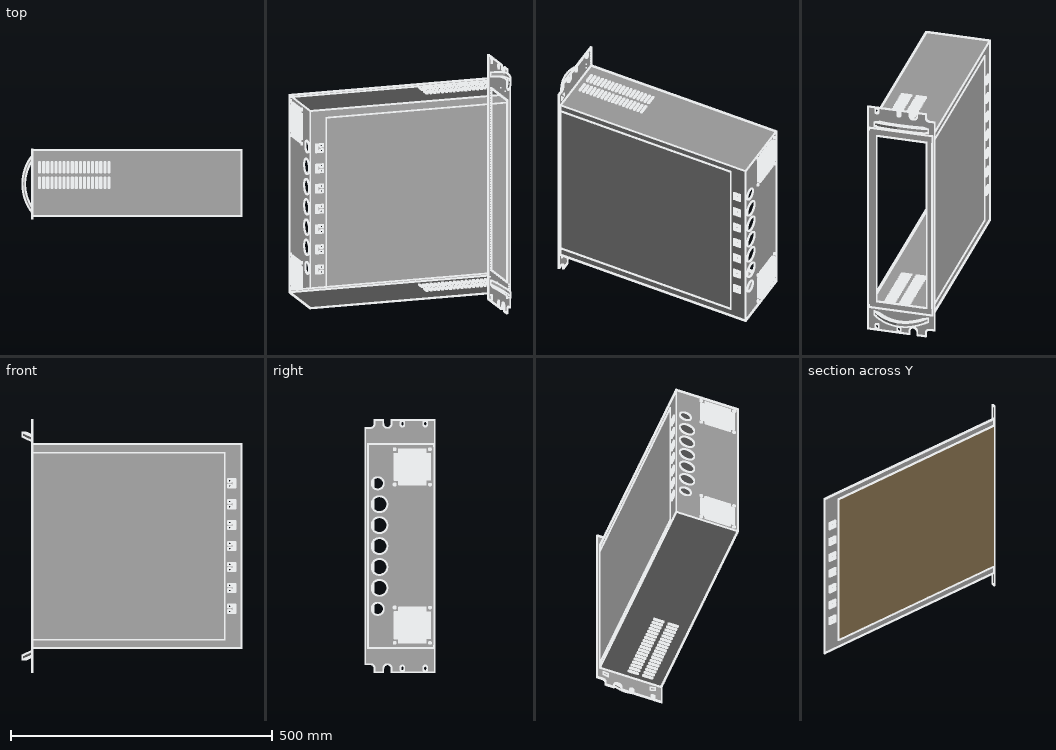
import cadquery as cq


PLATE_THICK = 2.0
PLATE_Y = 133.0
PLATE_Z = 483.0
OPENING_Y = 99.5
OPENING_CENTRE_Y = -0.75
OPENING_Z = 360.0

SHEET = 1.0
BOX_DEPTH = 400.0
BOX_Z = 391.0
BOX_Y_MIN = -61.8
BOX_Y_MAX = 65.5
OPEN_SIDE_LIP = 5.0
LINER_INSET_Z = 16.8
LINER_INSET_REAR = 33.0

SLOT_WIDTH = 7.0
SLOT_LENGTH = 10.5
SLOT_Z = 234.0
SLOT_YS = (48.3, 4.6)
NOTCH_WIDTH = 15.3
NOTCH_DEPTH = 15.3
NOTCH_Y = -24.0
CORNER_CUT_Y = 17.5
CORNER_CUT_RADIUS = 7.0

HANDLE_REACH = 18.0
HANDLE_THICK = 6.0
HANDLE_WIDTH = 8.6
HANDLE_HALF_SPAN = 53.4
HANDLE_RISE = 8.2
HANDLE_PEAK_Z = 217.8

VENT_COUNT = 18
VENT_PITCH = 7.8
VENT_WIDTH = 2.2
VENT_LENGTH = 19.5
VENT_FIRST_X = 13.3
VENT_ROW_YS = (32.0, 2.5)

GRILLE_Y = 23.5
GRILLE_Z = 151.4
GRILLE_PITCH = 4.34
GRILLE_SLOT = 2.2
GRILLE_LONG = 68.4
GRILLE_SHORT = 51.4
GRILLE_ROWS = 16
GRILLE_SHORT_ROWS = 2
FAN_HOLE_DIA = 4.0
FAN_HOLE_OFFSET = 33.8

STATION_PITCH = 40.0
LARGE_HOLE_DIA = 30.0
SMALL_HOLE_DIA = 23.0
LARGE_HOLE_Y = -39.3
SMALL_HOLE_Y = -42.6
STATIONS = range(-3, 4)

ANCHOR_X = 380.8
ANCHOR_LENGTH = 14.0
ANCHOR_HEIGHT = 15.6
ANCHOR_STEM = 4.8
ANCHOR_TAB_LENGTH = 10.4
ANCHOR_NECK_LENGTH = 4.3
ANCHOR_TIP_GAP = 0.5

CUT_MARGIN = 1.0


def block(x0, x1, y0, y1, z0, z1):
    """Axis-aligned block between two opposite corners."""
    return cq.Workplane("XY").box(x1 - x0, y1 - y0, z1 - z0, centered=False).translate((x0, y0, z0))


def mirrored(solid):
    """The solid together with its mirror image across Z = 0."""
    return solid.union(solid.mirror("XY"))


def plate_sketch():
    """Plane just ahead of the plate, with local axes Y and Z."""
    return cq.Workplane("YZ", origin=(-PLATE_THICK - CUT_MARGIN, 0, 0))


def make_plate():
    plate = block(-PLATE_THICK, 0, -PLATE_Y / 2, PLATE_Y / 2, -PLATE_Z / 2, PLATE_Z / 2)
    cut_depth = PLATE_THICK + 2 * CUT_MARGIN
    plate = plate.cut(
        plate_sketch().center(OPENING_CENTRE_Y, 0).rect(OPENING_Y, OPENING_Z).extrude(cut_depth)
    )

    slots = (
        plate_sketch()
        .pushPoints([(y, SLOT_Z) for y in SLOT_YS])
        .slot2D(SLOT_LENGTH, SLOT_WIDTH, 90)
        .extrude(cut_depth)
    )
    notch = (
        plate_sketch()
        .center(NOTCH_Y, PLATE_Z / 2)
        .slot2D(2 * NOTCH_DEPTH, NOTCH_WIDTH, 90)
        .extrude(cut_depth)
    )
    corner = (
        plate_sketch()
        .center(-PLATE_Y / 2, PLATE_Z / 2)
        .rect(2 * CORNER_CUT_Y, 2 * NOTCH_DEPTH)
        .extrude(cut_depth)
        .edges("|X")
        .fillet(CORNER_CUT_RADIUS)
    )
    return plate.cut(mirrored(slots.union(notch).union(corner)))


def make_box():
    half_z = BOX_Z / 2
    inner_z = half_z - SHEET
    shell = block(0, BOX_DEPTH, BOX_Y_MIN, BOX_Y_MAX, -half_z, half_z)
    lip_z = half_z - OPEN_SIDE_LIP
    rear_x = BOX_DEPTH - SHEET
    inner_y = BOX_Y_MIN + SHEET
    cavity = block(-CUT_MARGIN, rear_x, inner_y, BOX_Y_MAX - SHEET, -inner_z, inner_z)
    side_opening = block(-CUT_MARGIN, rear_x, 0, BOX_Y_MAX + CUT_MARGIN, -lip_z, lip_z)
    liner_z = half_z - LINER_INSET_Z
    liner = block(0, BOX_DEPTH - LINER_INSET_REAR, inner_y, inner_y + SHEET, -liner_z, liner_z)
    return shell.cut(cavity).cut(side_opening).union(liner)


def bow_radius(half_span, rise):
    """Radius of the arc that rises by the given amount over a half span."""
    return (half_span**2 + rise**2) / (2 * rise)


def make_handle():
    forward_radius = bow_radius(HANDLE_HALF_SPAN, HANDLE_REACH)
    ring = (
        cq.Workplane("XY")
        .center(forward_radius - HANDLE_REACH - PLATE_THICK, 0)
        .circle(forward_radius)
        .circle(forward_radius - HANDLE_THICK)
        .extrude(HANDLE_PEAK_Z)
    )
    end_z = HANDLE_PEAK_Z - HANDLE_RISE
    band = (
        cq.Workplane("YZ", origin=(-PLATE_THICK - HANDLE_REACH - CUT_MARGIN, 0, 0))
        .moveTo(-HANDLE_HALF_SPAN, end_z)
        .threePointArc((0, HANDLE_PEAK_Z), (HANDLE_HALF_SPAN, end_z))
        .lineTo(HANDLE_HALF_SPAN, end_z - HANDLE_WIDTH)
        .threePointArc((0, HANDLE_PEAK_Z - HANDLE_WIDTH), (-HANDLE_HALF_SPAN, end_z - HANDLE_WIDTH))
        .close()
        .extrude(HANDLE_REACH + CUT_MARGIN + PLATE_THICK / 2)
    )
    return ring.intersect(band)


def make_vents():
    centres = [(VENT_FIRST_X + i * VENT_PITCH, y) for y in VENT_ROW_YS for i in range(VENT_COUNT)]
    return (
        cq.Workplane("XY")
        .workplane(offset=-BOX_Z / 2 - CUT_MARGIN)
        .pushPoints(centres)
        .rect(VENT_WIDTH, VENT_LENGTH)
        .extrude(BOX_Z + 2 * CUT_MARGIN)
    )


def rear_sketch():
    """Plane just inside the rear wall, with local axes Y and Z."""
    return cq.Workplane("YZ", origin=(BOX_DEPTH - SHEET - CUT_MARGIN, 0, 0))


def make_grille():
    depth = SHEET + 2 * CUT_MARGIN
    long_rows = []
    short_rows = []
    for row in range(GRILLE_ROWS):
        z = GRILLE_Z + (row - (GRILLE_ROWS - 1) / 2) * GRILLE_PITCH
        at_end = row < GRILLE_SHORT_ROWS or row >= GRILLE_ROWS - GRILLE_SHORT_ROWS
        rows = short_rows if at_end else long_rows
        rows.append((GRILLE_Y, z))
    long_slots = rear_sketch().pushPoints(long_rows).rect(GRILLE_LONG, GRILLE_SLOT).extrude(depth)
    short_slots = rear_sketch().pushPoints(short_rows).rect(GRILLE_SHORT, GRILLE_SLOT).extrude(depth)
    screws = (
        rear_sketch()
        .center(GRILLE_Y, GRILLE_Z)
        .rect(2 * FAN_HOLE_OFFSET, 2 * FAN_HOLE_OFFSET, forConstruction=True)
        .vertices()
        .circle(FAN_HOLE_DIA / 2)
        .extrude(depth)
    )
    return long_slots.union(short_slots).union(screws)


def make_connector_holes():
    depth = SHEET + 2 * CUT_MARGIN
    zs = [i * STATION_PITCH for i in STATIONS]
    small = [(SMALL_HOLE_Y, z) for z in (zs[0], zs[-1])]
    large = [(LARGE_HOLE_Y, z) for z in zs[1:-1]]
    small_holes = rear_sketch().pushPoints(small).circle(SMALL_HOLE_DIA / 2).extrude(depth)
    large_holes = rear_sketch().pushPoints(large).circle(LARGE_HOLE_DIA / 2).extrude(depth)
    return small_holes.union(large_holes)


def make_anchor_window():
    depth = SHEET + 2 * CUT_MARGIN
    front_x = ANCHOR_X - ANCHOR_LENGTH / 2
    wall = cq.Workplane("XZ", origin=(front_x, BOX_Y_MIN + SHEET + CUT_MARGIN, 0))
    window = wall.center(ANCHOR_LENGTH / 2, 0).rect(ANCHOR_LENGTH, ANCHOR_HEIGHT).extrude(depth)

    stem = ANCHOR_STEM / 2
    tip = ANCHOR_HEIGHT / 2 - ANCHOR_TIP_GAP
    neck_mid = (stem + tip) / 2
    neck_x = ANCHOR_NECK_LENGTH
    neck_end = neck_x + (tip - stem) / 2
    tab = (
        wall.moveTo(0, -stem)
        .lineTo(neck_x, -stem)
        .threePointArc((neck_end, -neck_mid), (neck_x, -tip))
        .lineTo(ANCHOR_TAB_LENGTH, -tip)
        .lineTo(ANCHOR_TAB_LENGTH, tip)
        .lineTo(neck_x, tip)
        .threePointArc((neck_end, neck_mid), (neck_x, stem))
        .lineTo(0, stem)
        .close()
        .extrude(depth)
    )
    return window.cut(tab)


result = make_plate().union(make_box()).union(mirrored(make_handle()))
result = result.cut(make_vents())
result = result.cut(mirrored(make_grille()))
result = result.cut(make_connector_holes())
for station in STATIONS:
    result = result.cut(make_anchor_window().translate((0, 0, station * STATION_PITCH)))